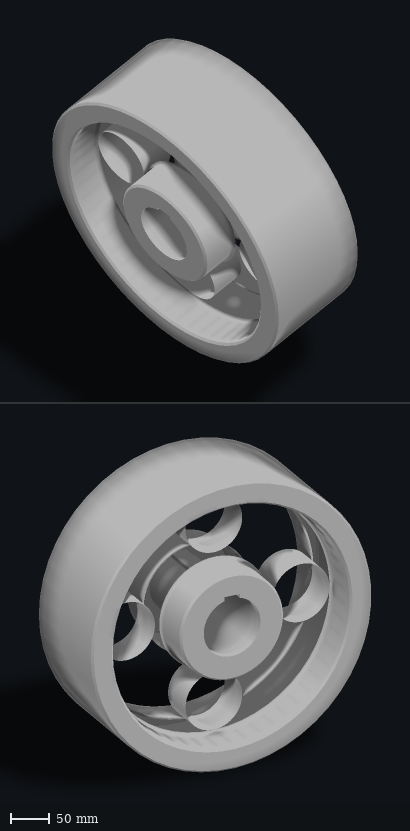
import cadquery as cq

wheel_diameter = 415.0
wheel_width = 155.0
rim_inner_diameter = 350.3

hub_diameter = 153.0
hub_width = wheel_width
web_thickness = 50.2

bore_diameter = 84.0
keyway_width = 23.0
keyway_top = 46.0

hole_count = 4
hole_diameter = 84.0
hole_circle_radius = 129.0

edge_chamfer = 3.0
pocket_fillet = 4.0


def disc(diameter, width):
    """Solid disc on the Y axis, centred on the XZ plane."""
    return cq.Workplane("XZ", origin=(0, width / 2, 0)).circle(diameter / 2).extrude(width)


def make_rim():
    outer = disc(wheel_diameter, wheel_width)
    inner = disc(rim_inner_diameter, wheel_width)
    return outer.cut(inner).faces("<Y or >Y").edges().chamfer(edge_chamfer)


def make_hub():
    return disc(hub_diameter, hub_width).faces("<Y or >Y").edges().chamfer(edge_chamfer)


def make_wheel_body():
    """Rim, web and hub joined, with rounded corners at both sides of the web."""
    body = make_rim().union(disc(rim_inner_diameter, web_thickness)).union(make_hub())
    half_web = web_thickness / 2
    margin = 0.5
    selection_size = wheel_diameter / 2
    web_corners = cq.selectors.BoxSelector(
        (-selection_size, -half_web - margin, -selection_size),
        (selection_size, half_web + margin, selection_size),
    )
    return body.edges("%CIRCLE").edges(web_corners).fillet(pocket_fillet)


def make_bore():
    """Shaft bore with a keyway on its +Z side."""
    keyway = cq.Workplane("XY").box(
        keyway_width, wheel_width, keyway_top, centered=(True, True, False)
    )
    return disc(bore_diameter, wheel_width).union(keyway)


def make_lightening_holes():
    return (
        cq.Workplane("XZ", origin=(0, wheel_width / 2, 0))
        .polarArray(hole_circle_radius, 0, 360, hole_count)
        .circle(hole_diameter / 2)
        .extrude(wheel_width)
    )


result = make_wheel_body().cut(make_bore()).cut(make_lightening_holes())